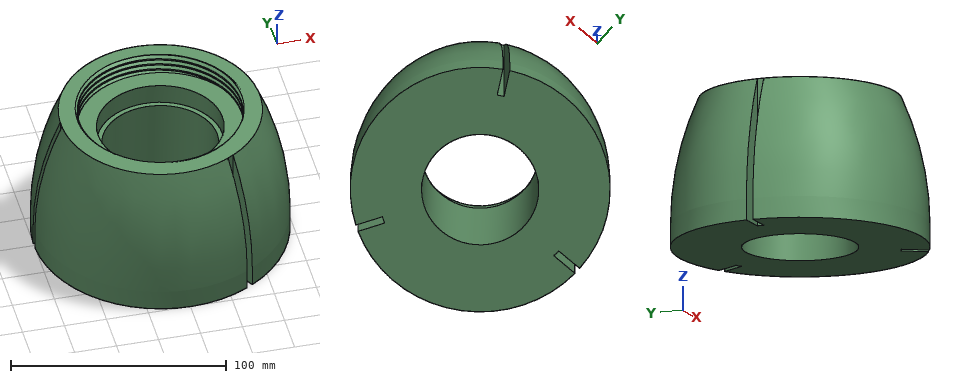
import cadquery as cq
import math

height = 70.0
base_radius = 60.2
top_radius = 47.3
straight_height = 10.0

bore_diameter = 54.3
seat_diameter = 59.1
seat_depth = 20.0
socket_diameter = 77.0
socket_depth = 10.0

thread_diameter = 80.4
thread_pitch = 3.0
thread_exit_angle = 95.0
thread_mouth_share = 0.8
thread_root_flat = 0.4
thread_overlap = 0.2

slot_count = 3
slot_width = 3.2
slot_floor_radius = 47.2
first_slot_angle = 60.0


def make_body():
    """Revolve a barrel whose curved flank is tangent to its straight band."""
    rise = height - straight_height
    inset = base_radius - top_radius
    flank_radius = (rise**2 + inset**2) / (2 * inset)
    half_angle = math.asin(rise / flank_radius) / 2
    middle = (
        base_radius - flank_radius * (1 - math.cos(half_angle)),
        straight_height + flank_radius * math.sin(half_angle),
    )
    return (
        cq.Workplane("XZ")
        .lineTo(base_radius, 0)
        .lineTo(base_radius, straight_height)
        .threePointArc(middle, (top_radius, height))
        .lineTo(0, height)
        .close()
        .revolve(360, (0, 0, 0), (0, 1, 0))
    )


def cut_bore(body):
    """Cut the through bore, its seat and the wider socket."""
    top = body.faces(">Z").workplane(origin=(0, 0, height))
    body = top.circle(bore_diameter / 2).cutThruAll()
    for diameter, depth in ((seat_diameter, seat_depth), (socket_diameter, socket_depth)):
        pocket = cq.Workplane(origin=(0, 0, height - depth)).circle(diameter / 2).extrude(depth)
        body = body.cut(pocket)
    return body


def make_thread_cutter():
    """Sweep a V groove along a helix and trim it to the socket depth."""
    mouth_half_width = thread_pitch / 2 * thread_mouth_share
    inner_radius = socket_diameter / 2 - thread_overlap
    outer_radius = thread_diameter / 2
    turns = math.ceil(socket_depth / thread_pitch) + 2
    helix_height = turns * thread_pitch
    helix = cq.Wire.makeHelix(thread_pitch, helix_height, inner_radius)
    groove = (
        cq.Workplane("XZ")
        .moveTo(inner_radius, -mouth_half_width)
        .lineTo(outer_radius, -thread_root_flat / 2)
        .lineTo(outer_radius, thread_root_flat / 2)
        .lineTo(inner_radius, mouth_half_width)
        .close()
        .sweep(cq.Workplane(obj=helix), isFrenet=True)
        .rotate((0, 0, 0), (0, 0, 1), thread_exit_angle)
        .translate((0, 0, height + thread_pitch - helix_height))
    )
    socket_floor = cq.Workplane(origin=(0, 0, height - socket_depth))
    socket_span = socket_floor.circle(base_radius).extrude(socket_depth)
    return groove.intersect(socket_span)


def make_slot(angle):
    """Make one full-height radial slot cutter."""
    slot_length = base_radius
    return (
        cq.Workplane()
        .box(slot_length, slot_width, height, centered=(False, True, False))
        .translate((slot_floor_radius, 0, 0))
        .rotate((0, 0, 0), (0, 0, 1), angle)
    )


result = cut_bore(make_body()).cut(make_thread_cutter())
for index in range(slot_count):
    result = result.cut(make_slot(first_slot_angle + index * 360 / slot_count))